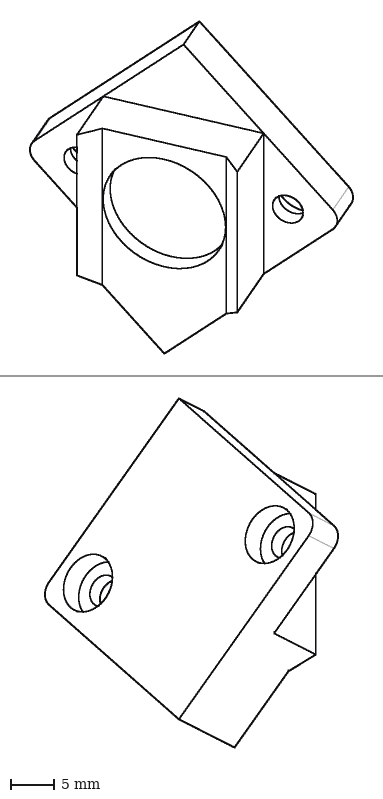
import cadquery as cq

diagonal = 40.0
plate_thickness = 5.0
side_corner_radius = 2.0
hole_diameter = 3.8
hole_offset = 13.0
counterbore_diameter = 7.0
counterbore_depth = 3.0

block_half_width = 10.0
block_top = 10.0
floor_height = 6.0
lip_height = 2.3

pocket_diameter = 15.3
pocket_depth = 2.2

half_diagonal = diagonal / 2
block_height = floor_height + lip_height


def diamond(depth):
    """Diamond prism running from Y = 0 by depth towards -Y (negative: +Y)."""
    corners = [
        (half_diagonal, 0),
        (0, half_diagonal),
        (-half_diagonal, 0),
        (0, -half_diagonal),
    ]
    return cq.Workplane("XZ").polyline(corners).close().extrude(depth)


def base_plate():
    plate = diamond(-plate_thickness)
    plate = plate.edges("|Y and (<X or >X)").fillet(side_corner_radius)
    back_face = cq.Workplane("XZ", origin=(0, plate_thickness, 0))
    hole_centers = [(-hole_offset, 0), (hole_offset, 0)]
    holes = back_face.pushPoints(hole_centers).circle(hole_diameter / 2).extrude(plate_thickness)
    counterbores = (
        back_face.pushPoints(hole_centers)
        .circle(counterbore_diameter / 2)
        .extrude(counterbore_depth)
    )
    return plate.cut(holes).cut(counterbores)


def channel_block():
    """Block with 45 degree lips, trimmed below by the diamond outline."""
    floor_half_width = block_half_width - lip_height
    profile = [
        (-block_half_width, 0),
        (-block_half_width, -block_height),
        (-floor_half_width, -floor_height),
        (floor_half_width, -floor_height),
        (block_half_width, -block_height),
        (block_half_width, 0),
    ]
    block = (
        cq.Workplane("XY", origin=(0, 0, -half_diagonal))
        .polyline(profile)
        .close()
        .extrude(half_diagonal + block_top)
    )
    return block.intersect(diamond(block_height))


def pocket():
    return (
        cq.Workplane("XZ", origin=(0, -floor_height, 0))
        .circle(pocket_diameter / 2)
        .extrude(-pocket_depth)
    )


result = base_plate().union(channel_block()).cut(pocket())